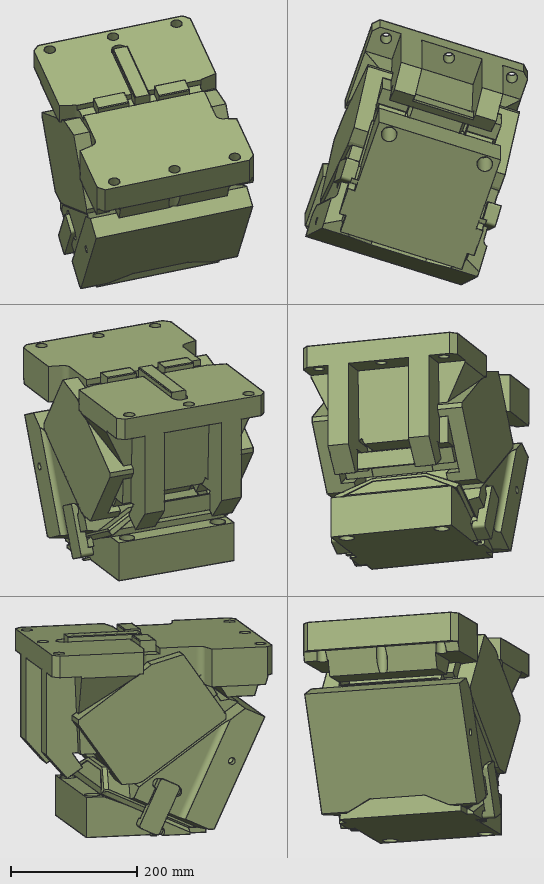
import cadquery as cq
import math


length = 360.0
half_width = 130.0
key_top = 309.0
plate_top = 300.2
plate_bottom = 265.5
far = 720.0

corner_chamfer = 10.0
channel_left = 154.8
channel_right = 181.0
channel_floor = 290.5
right_block_bottom = 239.5
end_step_depth = 8.5
end_step_bottom = 254.0
hole_diameter = 17.5
left_hole_x = 15.0
left_hole_y = 105.0
right_hole_x = 345.5
right_hole_y = 100.0

notch_inner_y = 100.0
notch_left_outer = 147.0
notch_left_inner = 154.8
notch_right_outer = 259.2
notch_right_inner = 251.0
notch_left_radius = 8.3
notch_right_radius = 12.0

key_width = 25.2
key_left = 52.5
key_right = 173.0
key_slot_left = 36.7
top_chamfer = 1.5
pad_inner_y = 25.2
pad_outer_y = 75.5

leg_inner_y = 50.5
leg_outer_y = 85.0
leg_left_bottom = 132.5
leg_tip = (34.0, 94.0)
leg_hook_corner = (58.5, 110.5)
leg_hook_root_x = 42.0
web_half_width = 99.5
web_bottom = 134.3
web_middle_bottom = 145.0
relief_inner_y = 41.5
relief_peak = (46.5, 154.5)
relief_outer_z = 150.5
web_left_top = 45.7
web_left_bottom = 51.5
flare_top = 262.8
flare_bottom = 200.0
tie_left = 42.5
tie_bottom = 102.0
tie_top = 129.0
stop_half_width = 90.0
stop_bottom = 214.5
stop_left = 278.5
stop_bottom_left = 293.8
stop_right = 338.8

slide_angle = 35.0
slide_origin = (100.8, 150.5)
head_left = -26.5
head_middle_left = -9.7
head_right = 184.5
head_thickness = 43.2
head_half_width = 95.5
undercut_length = 18.0
undercut_height = 17.0
neck_half_width = 77.5
neck_end_up = -61.0
neck_right = 206.0
guide_top = 70.5
guide_bottom = -75.2
guide_outer_y = 126.5
guide_nose_bottom = 177.0
guide_outline = [
    (41.8, 195.0), (41.8, 187.2), (112.5, 88.0), (137.5, 88.5), (145.8, 90.7),
    (282.5, 185.8), (282.5, 194.0), (213.0, 293.0), (161.0, 279.0),
]
guide_clearance = 4.5
shoulder_up = guide_bottom - guide_clearance

work_angle = -25.0
work_origin = (100.5, 102.0)
ridge_half_width = 45.7
ridge_up = 3.5
roof_edge_y = 104.5
roof_edge_up = -24.5
roof_edge_low = -28.0
roof_base_up = -36.0
roof_base_y = 101.5
lead_in_length = 7.2
lead_in_drop = 3.5
roof_core_top = (44.0, -5.5)
roof_core_foot = (99.5, -36.0)
roof_core_setback = 1.0
core_base_length = 10.8
core_base_bottom = 54.0
core_base_top = 68.5

slider_left = 45.7
slab_left = 136.0
slab_right = 186.0
slider_top_up = 181.0
slider_bottom_up = -24.5
underside_rise = 4.5
slider_lowest = 9.7
wing_half_width = 122.5
cove_radius = 10.0
side_hole_at = (291.5, 118.5)
side_hole_diameter = 10.8
side_hole_depth = 14.5
side_hole_tip = 3.2

hook_left = 71.3
hook_right = 106.5
hook_top = 26.3
hook_bottom = -59.8
hook_outer_y = 129.2
hook_inner_y = 114.0
hook_foot_y = 107.3
hook_foot_height = 13.0
hook_radius = 4.5
recess_width = 16.0
recess_overhang = 7.5
recess_up = 16.2
hook_pocket_up = -54.0
hook_pocket_overhang = 12.0

driver_left = 61.0
driver_right = 256.0
driver_half_width = roof_base_y
driver_top = 64.8
driver_slope_start = 89.3
toe_left = 227.5
toe_top = 9.5
rail_start = 77.8
rail_low_start = 100.8
rail_half_width = 112.5
rail_inner_up = -30.5
rail_outer_up = -35.5
driver_hole_x = 75.5
driver_hole_y = 80.0
driver_hole_diameter = 24.5


def tilted_plane(origin, angle):
    """Workplane in XZ whose local x runs at the angle above +X; its normal is -Y."""
    a = math.radians(angle)
    plane = cq.Plane(origin=(origin[0], 0, origin[1]), xDir=(math.cos(a), 0, math.sin(a)), normal=(0, -1, 0))
    return cq.Workplane(plane)


def frame_point(origin, angle, along, up):
    """XZ position of a point given along and square to a tilted frame."""
    a = math.radians(angle)
    x = origin[0] + along * math.cos(a) - up * math.sin(a)
    z = origin[1] + along * math.sin(a) + up * math.cos(a)
    return (x, z)


def slide_frame():
    return tilted_plane(slide_origin, slide_angle)


def work_frame():
    return tilted_plane(work_origin, work_angle)


def level_frame():
    return tilted_plane((0, 0), 0)


def rectangle(plane, left, right, bottom, top, half_y):
    """Block on a tilted plane, symmetric about Y = 0."""
    return plane.moveTo(left, bottom).lineTo(right, bottom).lineTo(right, top).lineTo(left, top) \
        .close().extrude(half_y, both=True)


def box(x0, x1, y0, y1, z0, z1):
    return cq.Workplane("XY").box(x1 - x0, y1 - y0, z1 - z0, centered=False).translate((x0, y0, z0))


def profile(points, half_y):
    """XZ outline extruded symmetrically about Y = 0."""
    return level_frame().polyline(points).close().extrude(half_y, both=True)


def both_sides(body):
    """Feature together with its mirror image across Y = 0."""
    return body.union(body.mirror("XZ"))


def mirrored(half):
    """Closed section outline made from its +Y half."""
    return half + [(-y, height) for y, height in reversed(half)]


def side_layer(body, inner_y, outer_y):
    """Parts of a symmetric body that lie between two distances from Y = 0."""
    layer = box(-far, far, inner_y, outer_y, -far, far)
    return body.intersect(both_sides(layer))


def housing_plate():
    left_part = box(0, channel_left, -half_width, half_width, plate_bottom, plate_top)
    middle = box(channel_left, channel_right, -half_width, half_width, plate_bottom, channel_floor)
    right_part = box(channel_right, length, -half_width, half_width, right_block_bottom, plate_top)
    end_step = profile(
        [(length, end_step_bottom), (length - end_step_depth, end_step_bottom),
         (stop_right, stop_bottom), (length, stop_bottom)],
        half_width,
    )
    plate = left_part.union(middle).union(right_part).cut(end_step)
    outline = (
        cq.Workplane("XY").center(length / 2, 0).rect(length, 2 * half_width).extrude(far)
        .edges("|Z").chamfer(corner_chamfer)
    )
    return plate.intersect(outline)


def housing_web():
    slide_start_along = (web_bottom - slide_origin[1]) / math.sin(math.radians(slide_angle))
    slide_start = frame_point(slide_origin, slide_angle, slide_start_along, 0)
    stop_top = frame_point(slide_origin, slide_angle, head_right, 0)
    outline = profile(
        [
            (web_left_top, plate_bottom),
            (web_left_bottom, web_bottom),
            slide_start,
            stop_top,
            (stop_top[0], plate_bottom),
        ],
        half_width,
    )
    half_section = [
        (half_width, plate_bottom),
        (half_width, flare_top),
        (web_half_width, flare_bottom),
        (web_half_width, 0),
    ]
    section = cq.Workplane("YZ").polyline(mirrored(half_section)).close().extrude(length)
    below_guide_top = rectangle(slide_frame(), -far, far, -far, guide_top, half_width)
    guide_room = side_layer(below_guide_top, web_half_width, half_width)
    return outline.intersect(section).cut(guide_room).cut(web_relief())


def web_relief():
    """Raised underside between the legs, with a pointed relief beside each leg."""
    half_section = [
        (relief_inner_y, web_middle_bottom),
        relief_peak,
        (leg_inner_y, relief_outer_z),
        (leg_inner_y, 0),
    ]
    section = cq.Workplane("YZ").polyline(mirrored(half_section)).close().extrude(length)
    return section.intersect(rectangle(slide_frame(), -far, head_middle_left, -far, far, half_width))


def notches():
    notch = (
        cq.Workplane("XY")
        .polyline([
            (notch_left_outer, half_width),
            (notch_left_inner, notch_inner_y),
            (notch_right_inner, notch_inner_y),
            (notch_right_outer, half_width),
        ])
        .close().extrude(far)
        .faces("<Y").edges("|Z and <X").fillet(notch_left_radius)
        .faces("<Y").edges("|Z and >X").fillet(notch_right_radius)
    )
    return both_sides(notch)


def legs():
    """Two hooked legs joined by a tie bar near their tips."""
    leg = profile(
        [
            (0, plate_bottom),
            (0, leg_left_bottom),
            leg_tip,
            leg_hook_corner,
            (leg_hook_root_x, web_bottom),
            (web_left_bottom, web_bottom),
            (web_left_top, plate_bottom),
        ],
        half_width,
    )
    tie_zone = box(tie_left, length, -leg_inner_y, leg_inner_y, tie_bottom, tie_top)
    return side_layer(leg, leg_inner_y, leg_outer_y).union(leg.intersect(tie_zone))


def end_stop():
    """Tapered stop under the right end of the plate."""
    return profile(
        [(stop_left, right_block_bottom), (stop_bottom_left, stop_bottom), (stop_right, stop_bottom),
         (length - end_step_depth, end_step_bottom), (stop_left, end_step_bottom)],
        stop_half_width,
    )


def side_guides():
    """Guide plates beside the web, with lips that hold the slider head from below."""
    plate = profile(guide_outline, guide_outer_y)
    lip_zone = rectangle(slide_frame(), -far, far, -far, -head_thickness, guide_outer_y)
    lips = side_layer(plate.intersect(lip_zone), neck_half_width, web_half_width)
    nose_zone = box(0, web_left_bottom, -guide_outer_y, guide_outer_y, guide_nose_bottom, plate_bottom)
    noses = side_layer(plate.intersect(nose_zone), leg_outer_y, web_half_width)
    return side_layer(plate, web_half_width, guide_outer_y).union(lips).union(noses)


def key_and_pads():
    key = box(key_left, key_right, -key_width / 2, key_width / 2, channel_floor, key_top)
    key = key.faces(">Z").edges("|X").chamfer(top_chamfer)
    pad = box(channel_left, channel_right, pad_inner_y, pad_outer_y, channel_floor, key_top)
    pad = pad.faces(">Z").edges("|Y").chamfer(top_chamfer)
    return key.union(both_sides(pad))


def make_housing():
    slot_radius = key_width / 2
    slot = (
        cq.Workplane("XY", origin=(key_slot_left + slot_radius, 0, channel_floor))
        .circle(slot_radius).extrude(far)
        .union(box(key_slot_left + slot_radius, channel_left, -slot_radius, slot_radius, channel_floor, far))
    )
    hole_places = [(left_hole_x, side * left_hole_y) for side in (-1, 0, 1)]
    hole_places += [(right_hole_x, side * right_hole_y) for side in (-1, 0, 1)]
    holes = cq.Workplane("XY").pushPoints(hole_places).circle(hole_diameter / 2).extrude(far)
    head_room = rectangle(slide_frame(), -far, head_right, -far, 0, notch_inner_y)
    body = housing_plate().union(end_stop()).cut(head_room)
    body = body.union(housing_web()).cut(notches()).cut(slot).cut(holes)
    return body.union(legs()).union(side_guides()).union(key_and_pads())


def across_work_frame(start):
    """Workplane square to the work direction, with local x along Y and local y along "up"."""
    a = math.radians(work_angle)
    x, z = frame_point(work_origin, work_angle, start, 0)
    plane = cq.Plane(origin=(x, 0, z), xDir=(0, 1, 0), normal=(math.cos(a), 0, math.sin(a)))
    return cq.Workplane(plane)


def roof_section(drop):
    return mirrored([
        (ridge_half_width, ridge_up - drop),
        (roof_edge_y, roof_edge_up - drop),
        (roof_edge_y, roof_edge_low - drop),
        (roof_base_y, roof_base_up),
    ])


def roof_prism(start, end):
    return across_work_frame(start).polyline(roof_section(0)).close().extrude(end - start)


def roof_lead_in():
    return (
        across_work_frame(0).polyline(roof_section(lead_in_drop)).close()
        .workplane(offset=lead_in_length).polyline(roof_section(0)).close()
        .loft(ruled=True)
    )


def slider_head():
    """Wide head in the side guides; its left end is set back in the middle and undercut at the sides."""
    head = rectangle(slide_frame(), head_left, head_right, -head_thickness, 0, head_half_width)
    step = rectangle(slide_frame(), head_left, head_middle_left, -head_thickness, 0, leg_inner_y)
    undercut = rectangle(slide_frame(), head_left, head_left + undercut_length, -head_thickness,
                         undercut_height - head_thickness, head_half_width)
    return head.cut(step).cut(side_layer(undercut, leg_inner_y, head_half_width))


def slider_neck():
    head_corner = frame_point(slide_origin, slide_angle, head_right, neck_end_up)
    slab_corner = frame_point(work_origin, work_angle, slab_left, slider_top_up)
    left_of_body = rectangle(work_frame(), -far, slider_left, -far, far, half_width)
    neck = profile(
        [
            frame_point(slide_origin, slide_angle, head_left, -head_thickness),
            frame_point(slide_origin, slide_angle, head_right, -head_thickness),
            head_corner,
            slab_corner,
            frame_point(slide_origin, slide_angle, neck_right, shoulder_up),
            frame_point(slide_origin, slide_angle, head_left, shoulder_up),
        ],
        neck_half_width,
    )
    return neck.cut(left_of_body)


def shoulder_coves():
    """Hollow fillets where the thicker slab steps out from the wings."""
    strip = rectangle(work_frame(), slab_left - cove_radius, slab_left,
                      slider_bottom_up, slider_top_up, half_width)
    a = math.radians(work_angle)
    x, z = frame_point(work_origin, work_angle, slab_left - cove_radius, slider_bottom_up)
    plane = cq.Plane(origin=(x, 0, z), xDir=(0, 1, 0), normal=(-math.sin(a), 0, math.cos(a)))
    cove_y = wing_half_width + cove_radius
    rounds = (
        cq.Workplane(plane).pushPoints([(-cove_y, 0), (cove_y, 0)])
        .circle(cove_radius).extrude(slider_top_up - slider_bottom_up)
    )
    return side_layer(strip.cut(rounds), wing_half_width, half_width)


def underside_bevels():
    """Wedges that tilt the slider's underside up toward its sides."""
    outer_rise = underside_rise * (half_width - roof_edge_y) / (wing_half_width - roof_edge_y)
    wedge = (
        across_work_frame(slider_left)
        .polyline([(roof_edge_y, slider_bottom_up), (half_width, slider_bottom_up),
                   (half_width, slider_bottom_up + outer_rise)])
        .close().extrude(slab_right - slider_left)
    )
    return both_sides(wedge)


def slider_body():
    wing = rectangle(work_frame(), slider_left, slab_right, slider_bottom_up, slider_top_up, wing_half_width)
    slab = rectangle(work_frame(), slab_left, slab_right, slider_bottom_up, slider_top_up, half_width)
    above_shoulder = rectangle(slide_frame(), -far, far, shoulder_up, far, half_width)
    below_floor = box(-far, far, -half_width, half_width, -far, slider_lowest)
    body = wing.union(slab).union(shoulder_coves())
    return body.cut(above_shoulder).cut(below_floor).cut(underside_bevels())


def stadium(left, right, up, inner_y, outer_y):
    """Round-ended slot volume along the work frame on both sides of the part."""
    slot = work_frame().center((left + right) / 2, up).slot2D(right - left, recess_width)
    return side_layer(slot.extrude(outer_y, both=True), inner_y, outer_y)


def return_hooks():
    plate = rectangle(work_frame(), hook_left, hook_right, hook_bottom, hook_top, hook_outer_y)
    plate = plate.edges("|Y").fillet(hook_radius)
    foot_top = hook_bottom + hook_foot_height
    foot_zone = rectangle(work_frame(), hook_left, hook_right, hook_bottom, foot_top, half_width)
    foot = side_layer(plate.intersect(foot_zone), hook_foot_y, hook_outer_y)
    return side_layer(plate, hook_inner_y, hook_outer_y).union(foot)


def side_holes():
    """Blind drilled holes with conical ends in both sides of the slab."""
    radius = side_hole_diameter / 2
    x, z = side_hole_at
    inward = cq.Vector(0, 1, 0)
    shaft = cq.Solid.makeCylinder(radius, side_hole_depth, cq.Vector(x, -half_width, z), inward)
    tip = cq.Solid.makeCone(radius, 0, side_hole_tip, cq.Vector(x, side_hole_depth - half_width, z), inward)
    return both_sides(cq.Workplane("XY").add(shaft).union(cq.Workplane("XY").add(tip)))


def make_slider():
    body = slider_body().union(slider_neck()).union(slider_head()).cut(roof_prism(-far, far))
    recess = stadium(hook_left - recess_overhang, hook_right + recess_overhang, recess_up,
                     hook_inner_y, wing_half_width)
    body = body.cut(recess).cut(side_holes())
    return body.union(return_hooks())


def make_driver():
    block = profile(
        [(driver_left, 0), (driver_right, 0), (driver_right, toe_top), (toe_left, toe_top),
         (driver_slope_start, driver_top), (driver_left, driver_top)],
        driver_half_width,
    )
    holes = (
        cq.Workplane("XY").pushPoints([(driver_hole_x, side * driver_hole_y) for side in (-1, 1)])
        .circle(driver_hole_diameter / 2).extrude(driver_top)
    )
    return block.cut(holes).union(driver_roof()).union(driver_rails())


def driver_roof():
    """Roof with a tapered lead-in; under its overhanging end the core is upright and slightly set back."""
    envelope = box(driver_left, driver_right, -half_width, half_width, toe_top, plate_top)
    core_section = mirrored([roof_core_top, roof_core_foot])
    core_face = across_work_frame(0).polyline(core_section).close().extrude(roof_core_setback)
    core = across_work_frame(0).polyline(core_section).close().extrude(far)
    overhang = core.intersect(box(driver_left, driver_slope_start, -half_width, half_width, 0, plate_top))
    roof = roof_lead_in().union(roof_prism(lead_in_length, far)).intersect(envelope)
    core_y = roof_core_foot[0]
    core_base = box(driver_slope_start, driver_slope_start + core_base_length, -core_y, core_y,
                    core_base_bottom, core_base_top)
    return roof.cut(core_face).cut(overhang).union(core_base)


def driver_rails():
    """Side rails under the roof edges, with round-ended pockets for the feet of the return hooks."""
    half_section = [
        (roof_base_y, rail_inner_up), (roof_edge_y, rail_inner_up),
        (rail_half_width, rail_outer_up), (rail_half_width, -far), (roof_base_y, -far),
    ]
    rail = across_work_frame(rail_start).polyline(half_section).close().extrude(far)
    rail = rail.intersect(box(driver_left, toe_left, -half_width, half_width, 0, driver_top))
    pocket = stadium(hook_left - hook_pocket_overhang, hook_right + hook_pocket_overhang, hook_pocket_up,
                     roof_base_y, rail_half_width)
    below_pocket = rectangle(work_frame(), rail_start, rail_low_start, -far, hook_pocket_up, half_width)
    return both_sides(rail.cut(below_pocket)).cut(pocket)


housing = make_housing()
slider = make_slider()
driver = make_driver()
result = cq.Compound.makeCompound([housing.solids().val(), slider.solids().val(), driver.solids().val()])